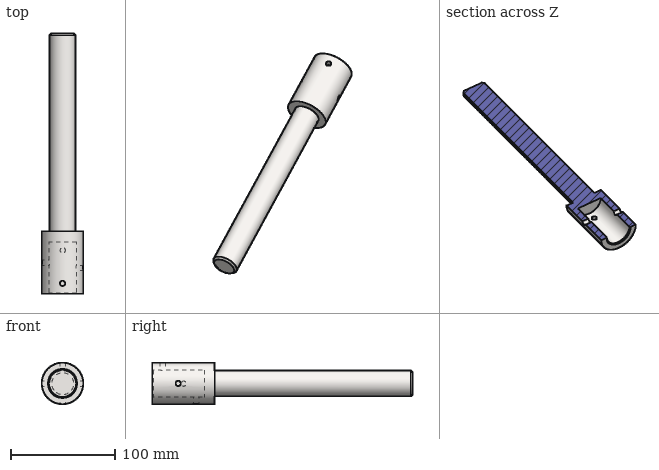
import cadquery as cq

total_length = 250.0
shaft_diameter = 25.0
shaft_chamfer = 2.0
head_diameter = 40.0
head_length = 60.0

bore_diameter = 26.0
bore_depth = 50.0
bore_chamfer = 1.0

pin_hole_diameter = 5.0
top_hole_distance = 10.0
left_hole_distance = head_length / 2
right_hole_distance = 25.0
bottom_hole_distance = 42.0
RADIAL_HOLES = [
    (cq.Vector(0, 0, 1), top_hole_distance),
    (cq.Vector(-1, 0, 0), left_hole_distance),
    (cq.Vector(1, 0, 0), right_hole_distance),
    (cq.Vector(0, 0, -1), bottom_hole_distance),
]

open_end = -total_length / 2


def cylinder(diameter, length):
    """Cylinder on the Y axis, running from the open end toward +Y."""
    start = cq.Vector(0, open_end, 0)
    solid = cq.Solid.makeCylinder(diameter / 2, length, start, cq.Vector(0, 1, 0))
    return cq.Workplane(obj=solid)


def radial_hole(direction, distance):
    """Cutter from the axis out through one wall of the head."""
    start = cq.Vector(0, open_end + distance, 0)
    solid = cq.Solid.makeCylinder(pin_hole_diameter / 2, head_diameter, start, direction)
    return cq.Workplane(obj=solid)


shaft = cylinder(shaft_diameter, total_length).faces(">Y").chamfer(shaft_chamfer)
body = shaft.union(cylinder(head_diameter, head_length))

body = body.cut(cylinder(bore_diameter, bore_depth))
mouth = cq.Solid.makeCone(
    bore_diameter / 2 + bore_chamfer,
    bore_diameter / 2,
    bore_chamfer,
    cq.Vector(0, open_end, 0),
    cq.Vector(0, 1, 0),
)
body = body.cut(cq.Workplane(obj=mouth))

for direction, distance in RADIAL_HOLES:
    body = body.cut(radial_hole(direction, distance))

result = body